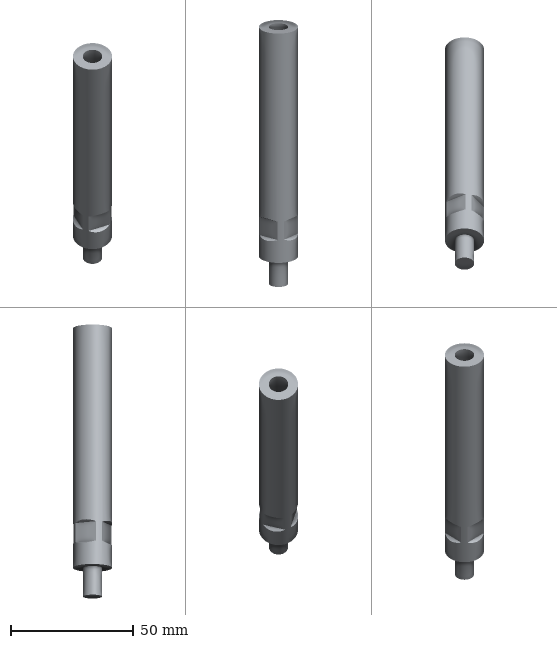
import cadquery as cq
import math

total_length = 112.0
body_diameter = 16.0
stud_diameter = 8.0
stud_length = 12.0

bore_diameter = stud_diameter
bore_depth = 20.0

across_flats = 13.0
flat_height = 8.0
flat_above_shoulder = 10.0
end_wall_angle = 30.0
flat_count = 4

body_radius = body_diameter / 2
body_length = total_length - stud_length


def make_body():
    stud = cq.Workplane("XY").circle(stud_diameter / 2).extrude(stud_length)
    body = (
        cq.Workplane("XY")
        .workplane(offset=stud_length)
        .circle(body_radius)
        .extrude(body_length)
    )
    return stud.union(body)


def make_bore():
    return (
        cq.Workplane("XY")
        .workplane(offset=total_length - bore_depth)
        .circle(bore_diameter / 2)
        .extrude(bore_depth)
    )


def make_flat_cutter():
    """Prism that cuts the flat on the +X side, widening outward."""
    inner_x = across_flats / 2
    outer_x = body_diameter
    flare = (outer_x - inner_x) * math.tan(math.radians(end_wall_angle))
    bottom_z = stud_length + flat_above_shoulder
    top_z = bottom_z + flat_height
    return (
        cq.Workplane("XZ")
        .polyline([
            (inner_x, bottom_z),
            (outer_x, bottom_z - flare),
            (outer_x, top_z + flare),
            (inner_x, top_z),
        ])
        .close()
        .extrude(body_radius, both=True)
    )


result = make_body().cut(make_bore())

flat_cutter = make_flat_cutter()
for index in range(flat_count):
    angle = index * 360 / flat_count
    result = result.cut(flat_cutter.rotate((0, 0, 0), (0, 0, 1), angle))